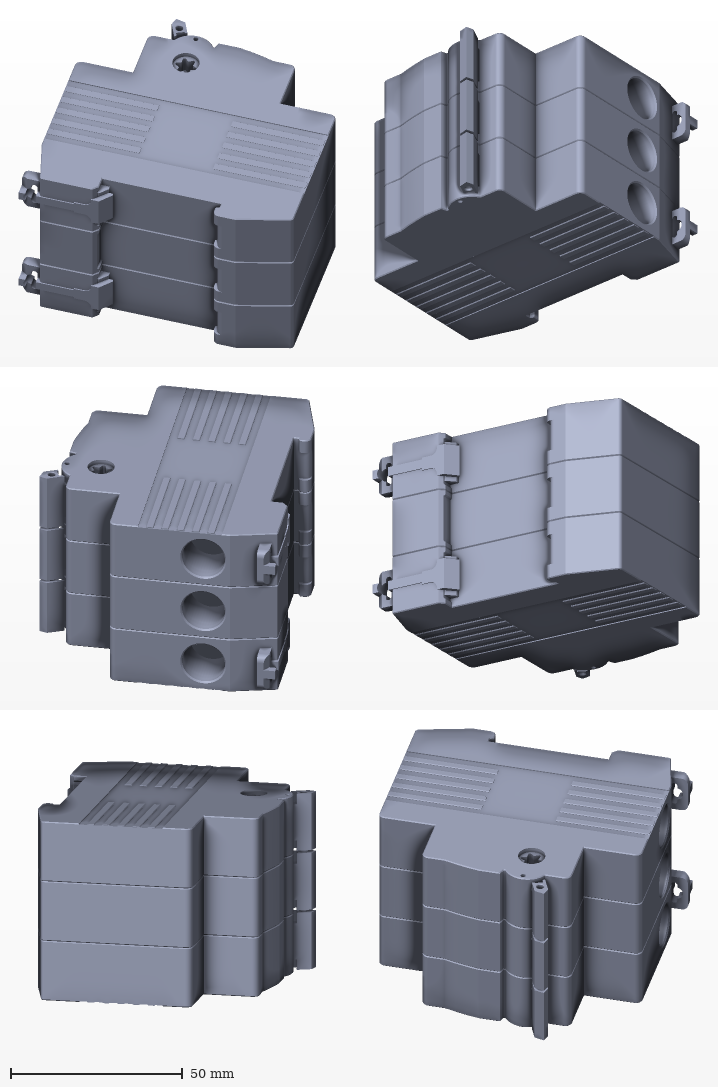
import cadquery as cq
import math


pole_count = 3
stack_height = 53.4
pole_height = stack_height / pole_count
pole_middle = pole_height / 2
edge_chamfer = 0.29

housing_width = 78.9
shoulder_y = 49.3
tower_left = 17.1
tower_right = housing_width - tower_left
tower_y = 65.4
corner_radius = 2.0

foot_left = 3.5
left_slant_y = 13.6
foot_bevel = 0.29
right_foot = 62.8
right_slant_y = 4.6
right_corner_radius = 1.15

slot_left = 20.9
slot_right = 56.9
slot_top = 5.1
slot_bevel_x = 19.4
slot_bevel_y = slot_left - slot_bevel_x
lip_x = 55.8
lip_top = 3.1
lip_slope_top = 3.7
lip_radius = 1.8
lip_notch_height = 9.3
wall_recess_height = 13.9
wall_recess_depth = 0.5

dome_x = 30.75
dome_radius = 6.95
dome_y = 61.9
dome_start_x = dome_x - math.sqrt(dome_radius**2 - (tower_y - dome_y) ** 2)
valley_x = 36.5
valley_y = dome_y + math.sqrt(dome_radius**2 - (valley_x - dome_x) ** 2)
valley_flat = 0.5
cover_left = 37.6
cover_y = 67.8
cover_bend_x = 44.0
cover_end_x = 54.8
cover_bulge = 0.205

pin_diameter = 1.5
pin_y = 67.3

band_low = 15.9
band_high = 40.7
rib_count = 5
rib_base_width = (band_high - band_low) / (2 * rib_count + 1)
rib_pitch = 2 * rib_base_width
rib_bevel = 0.205
rib_inner_end = 28.3

screw_y = 57.25
screw_diameter = 7.9
screw_head_depth = 1.5
star_depth = 4.9
star_tip_radius = 3.3
star_root_radius = 2.05
star_tip_width = 0.65
star_points = 6
star_turn = -5.0

wire_y = 21.4
wire_diameter = 12.7
wire_depth = 13.1
wire_bevel = 0.45

lever_tilt = 24.5
lever_width = 4.0
lever_end_gap = 0.4
lever_eye_diameter = 2.1
lever_eye_bevel = 0.205
lever_eye_x = 24.8
lever_eye_y = 70.75
lever_root = 4.75
lever_left_shoulder = 2.0
lever_right_shoulder = 2.0
lever_peak = 3.85
lever_peak_shift = -0.4
neck_height = 10.8
dome_clearance_radius = 8.2
neck_pocket_width = 2.5
neck_pocket_top = 1.9

clip_poles = (0, 2)
clip_bottom = -0.3
overall_width = 81.8
clip_left = housing_width - overall_width
head_height = 11.3
head_inner_end = 4.9
head_top = slot_top
head_low = 1.7
head_nose_y = 3.0
leg_right = -0.9
head_corner_radius = leg_right - clip_left
clip_slot_left = 0.3
clip_slot_right = 2.3
clip_slot_height = 7.3
clip_eye_radius = 2.0
clip_eye_x = 0.6
stem_height = 2.8
stem_left = 2.4
stem_step_x = 13.9
stem_wide_height = 3.9
flare_start_x = 17.25
flare_end_x = 19.05
flare_radius = 2.3
hook_height = 9.3
hook_bottom_x = 21.4
hook_tip_x = 24.6
hook_tip_y = 3.2
hook_tip_top = 3.6
hook_top = 3.9
hook_top_x = 24.2
hook_block_x = 23.2
tab_height = 12.2
stem_embed = 0.65


def box(x0, x1, y0, y1, z0, z1):
    return cq.Workplane("XY").box(x1 - x0, y1 - y0, z1 - z0, centered=False).translate((x0, y0, z0))


def centered_prism(outline, height):
    """Extrude an XY outline symmetrically about mid-height of a pole."""
    return outline.extrude(height / 2, both=True).translate((0, 0, pole_middle))


def housing_blank():
    outline = (
        cq.Workplane("XY")
        .moveTo(foot_left, 0)
        .lineTo(slot_bevel_x, 0)
        .lineTo(slot_left, slot_bevel_y)
        .lineTo(slot_left, slot_top)
        .lineTo(slot_right, slot_top)
        .lineTo(slot_right, lip_slope_top)
        .lineTo(lip_x, lip_top)
        .lineTo(lip_x, lip_radius)
        .radiusArc((lip_x + lip_radius, 0), -lip_radius)
        .lineTo(right_foot, 0)
        .lineTo(housing_width, right_slant_y)
        .lineTo(housing_width, shoulder_y)
        .lineTo(tower_right, shoulder_y)
        .lineTo(tower_right, tower_y)
        .lineTo(cover_end_x, tower_y)
        .threePointArc(
            ((cover_bend_x + cover_end_x) / 2, (cover_y + tower_y) / 2 + cover_bulge),
            (cover_bend_x, cover_y),
        )
        .lineTo(cover_left, cover_y)
        .lineTo(valley_x + valley_flat, valley_y)
        .lineTo(valley_x, valley_y)
        .threePointArc((dome_x, dome_y + dome_radius), (dome_start_x, tower_y))
        .lineTo(tower_left, tower_y)
        .lineTo(tower_left, shoulder_y)
        .lineTo(0, shoulder_y)
        .lineTo(0, left_slant_y)
        .close()
    )
    blank = outline.extrude(pole_height)

    def upright_edge(x, y):
        reach = 0.1
        return cq.selectors.BoxSelector(
            (x - reach, y - reach, 0), (x + reach, y + reach, pole_height)
        )

    for corner in (
        (0, shoulder_y),
        (housing_width, shoulder_y),
        (tower_left, tower_y),
        (tower_right, tower_y),
    ):
        blank = blank.edges(upright_edge(*corner)).fillet(corner_radius)
    blank = blank.edges(upright_edge(housing_width, right_slant_y)).fillet(right_corner_radius)
    blank = blank.edges(upright_edge(foot_left, 0)).chamfer(foot_bevel)
    return blank.faces("<Z or >Z").edges().chamfer(edge_chamfer)


def lip_notch():
    """Set the rail lip back to the slot wall over the middle of a pole."""
    outline = (
        cq.Workplane("XY")
        .moveTo(lip_x, 0)
        .lineTo(slot_right + lip_radius, 0)
        .radiusArc((slot_right, lip_radius), lip_radius)
        .lineTo(slot_right, slot_top)
        .lineTo(lip_x, slot_top)
        .close()
    )
    return centered_prism(outline, lip_notch_height)


def wall_recess():
    """Shallow flared recess in the left wall of the rail slot."""
    half = wall_recess_height / 2
    flared = half + wall_recess_depth
    floor_x = slot_left - wall_recess_depth
    corners = [(slot_left, -flared), (floor_x, -half), (floor_x, half), (slot_left, flared)]
    return (
        cq.Workplane("XZ")
        .polyline(corners)
        .close()
        .extrude(-slot_top)
        .translate((0, 0, pole_middle))
    )


def wire_opening():
    radius = wire_diameter / 2
    profile = [
        (0, 0),
        (0, radius + wire_bevel),
        (wire_bevel, radius),
        (wire_depth, radius),
        (wire_depth, 0),
    ]
    opening = cq.Workplane("XY").polyline(profile).close().revolve(360, (0, 0), (1, 0))
    return opening.translate((0, wire_y, pole_middle))


def lever():
    """One lever, built upright around its eye, tilted into place and relieved near the dome."""
    half = lever_width / 2
    corners = [
        (-half, -lever_root),
        (half, -lever_root),
        (half, lever_right_shoulder),
        (lever_peak_shift, lever_peak),
        (-half, lever_left_shoulder),
    ]
    bar = centered_prism(
        cq.Workplane("XY").polyline(corners).close(), pole_height - 2 * lever_end_gap
    )
    bar = bar.faces(">Z").workplane(origin=(0, 0)).hole(lever_eye_diameter)
    bar = bar.edges("%CIRCLE").chamfer(lever_eye_bevel)

    half_pocket = neck_pocket_width / 2
    pocket = box(-half_pocket, half_pocket, -lever_root, -neck_pocket_top, 0, pole_height)

    def place(shape):
        return shape.rotate((0, 0, 0), (0, 0, 1), lever_tilt).translate((lever_eye_x, lever_eye_y, 0))

    clearance = (
        cq.Workplane("XY").center(dome_x, dome_y).circle(dome_clearance_radius).extrude(pole_height)
    )
    neck_low = pole_middle - neck_height / 2
    neck_zone = box(0, housing_width, 0, 2 * tower_y, neck_low, neck_low + neck_height)
    relief = clearance.union(place(pocket)).cut(neck_zone)
    return place(bar).cut(relief)


def pole():
    body = housing_blank().cut(lip_notch()).cut(wall_recess()).cut(wire_opening())
    return body.union(lever())


def clip_head():
    profile = [
        (clip_left, head_top),
        (head_inner_end, head_top),
        (head_inner_end, head_low),
        (leg_right, head_low),
        (clip_left, head_nose_y),
    ]
    head = centered_prism(cq.Workplane("XY").polyline(profile).close(), head_height)
    leg_profile = cq.Workplane("XY").rect(leg_right - clip_left, head_top - clip_bottom)
    leg = centered_prism(leg_profile, stem_height).translate(
        ((leg_right + clip_left) / 2, (head_top + clip_bottom) / 2, 0)
    )

    rounded = box(clip_left, head_inner_end, clip_bottom, head_top, 0, head_height)
    rounded = rounded.edges("|Y and <X").fillet(head_corner_radius)
    head = head.union(leg).intersect(rounded.translate((0, 0, pole_middle - head_height / 2)))

    slot_width = clip_slot_right - clip_slot_left
    slot = (
        cq.Workplane("XZ")
        .center((clip_slot_left + clip_slot_right) / 2, pole_middle)
        .slot2D(clip_slot_height, slot_width, 90)
        .extrude(head_top, both=True)
    )
    eye = (
        cq.Workplane("XZ")
        .center(clip_eye_x, pole_middle)
        .circle(clip_eye_radius)
        .extrude(head_top, both=True)
    )
    eye = eye.intersect(box(clip_left, clip_slot_right, clip_bottom, head_top, 0, pole_height))
    return head.cut(slot).cut(eye)


def clip_stem():
    """Flat tongue hanging from the head, widening under the foot to the hook through two flares."""
    half = stem_height / 2
    half_wide = stem_wide_height / 2
    half_hook = hook_height / 2
    outline = (
        cq.Workplane("XZ")
        .moveTo(stem_left, -half)
        .lineTo(stem_step_x, -half)
        .lineTo(stem_step_x, -half_wide)
        .lineTo(flare_start_x, -half_wide)
        .radiusArc((flare_end_x, -half_hook), flare_radius)
        .lineTo(hook_bottom_x, -half_hook)
        .lineTo(hook_bottom_x, half_hook)
        .lineTo(flare_end_x, half_hook)
        .radiusArc((flare_start_x, half_wide), flare_radius)
        .lineTo(stem_step_x, half_wide)
        .lineTo(stem_step_x, half)
        .lineTo(stem_left, half)
        .close()
    )
    plate = outline.extrude(-(stem_embed - clip_bottom))
    plate = plate.translate((0, clip_bottom, pole_middle))
    neck = box(stem_left, head_inner_end, clip_bottom, head_low, pole_middle - half, pole_middle + half)
    return plate.union(neck)


def clip_hook():
    arm = [
        (slot_bevel_x, 0),
        (slot_bevel_x, clip_bottom),
        (hook_bottom_x, clip_bottom),
        (hook_tip_x, hook_tip_y),
        (hook_tip_x, hook_tip_top),
        (hook_top_x, hook_top),
        (hook_block_x, hook_top),
    ]
    block = [
        (slot_left - wall_recess_depth, slot_bevel_y),
        (slot_left, slot_bevel_y),
        (hook_block_x, hook_top),
        (hook_block_x, slot_top),
        (slot_left - wall_recess_depth, slot_top),
    ]
    hook = centered_prism(cq.Workplane("XY").polyline(arm).close(), hook_height)
    return hook.union(centered_prism(cq.Workplane("XY").polyline(block).close(), tab_height))


def clip():
    return clip_head().union(clip_stem()).union(clip_hook())


def band_relief():
    """Lower a side band by the chamfer depth, leaving bevelled ribs standing."""
    band = box(0, housing_width, band_low, band_high, 0, edge_chamfer)
    middle_y = (band_low + band_high) / 2
    for index in range(rib_count):
        rib_low = middle_y + (index - (rib_count - 1) / 2) * rib_pitch - rib_base_width / 2
        for start, end in (
            (edge_chamfer, rib_inner_end),
            (housing_width - rib_inner_end, housing_width - edge_chamfer),
        ):
            rib = box(start, end, rib_low, rib_low + rib_base_width, 0, edge_chamfer)
            band = band.cut(rib.edges("|X and <Z").chamfer(rib_bevel))
    return band


def screw_recess():
    head_bottom = stack_height - screw_head_depth
    outline = []
    for index in range(star_points):
        tip = math.radians(star_turn + index * 360 / star_points)
        root = tip + math.pi / star_points
        half_tip = star_tip_width / 2
        for side in (-half_tip, half_tip):
            outline.append(
                (
                    star_tip_radius * math.cos(tip) - side * math.sin(tip),
                    star_tip_radius * math.sin(tip) + side * math.cos(tip),
                )
            )
        outline.append((star_root_radius * math.cos(root), star_root_radius * math.sin(root)))
    star = cq.Workplane("XY").polyline(outline).close().extrude(-star_depth)
    head = cq.Workplane("XY").circle(screw_diameter / 2).extrude(screw_head_depth)
    return head.union(star).translate((dome_x, screw_y, head_bottom))


pole_shape = pole()
clip_shape = clip()
breaker = pole_shape
for index in range(1, pole_count):
    breaker = breaker.union(pole_shape.translate((0, 0, index * pole_height)))
for index in clip_poles:
    breaker = breaker.union(clip_shape.translate((0, 0, index * pole_height)))

relief = band_relief()
breaker = breaker.cut(relief)
breaker = breaker.cut(relief.mirror("XY", (0, 0, stack_height / 2)))
breaker = breaker.cut(screw_recess())

pin_hole = cq.Workplane("XY").center(dome_x, pin_y).circle(pin_diameter / 2).extrude(stack_height)
result = breaker.cut(pin_hole)